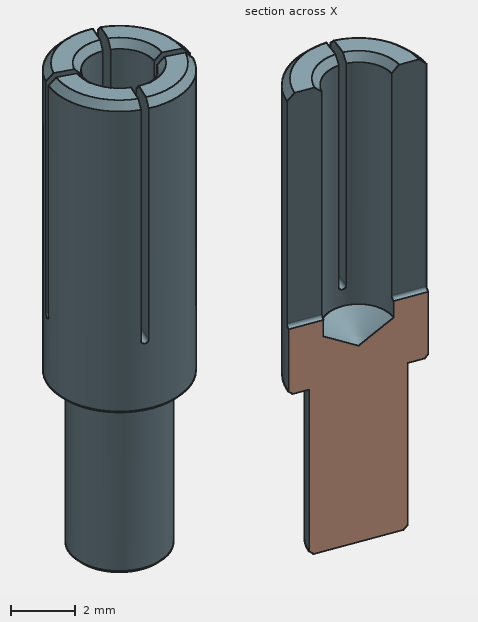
import cadquery as cq
import math

total_length = 17.78
shank_length = 6.35

body_diameter = 4.75
shank_diameter = 3.36

mouth_chamfer = 0.254
shoulder_chamfer = 0.127
shank_end_chamfer = 0.15

bore_diameter = 2.38
bore_depth = 9.525
drill_point_angle = 118.0

slot_width = 0.254
slot_depth = 8.89

body_radius = body_diameter / 2
shank_radius = shank_diameter / 2
bore_radius = bore_diameter / 2


def make_pin():
    """Shank and body as one turned profile, revolved about Z."""
    profile = (
        cq.Workplane("XZ")
        .moveTo(0, 0)
        .lineTo(shank_radius - shank_end_chamfer, 0)
        .lineTo(shank_radius, shank_end_chamfer)
        .lineTo(shank_radius, shank_length)
        .lineTo(body_radius - shoulder_chamfer, shank_length)
        .lineTo(body_radius, shank_length + shoulder_chamfer)
        .lineTo(body_radius, total_length - mouth_chamfer)
        .lineTo(body_radius - mouth_chamfer, total_length)
        .lineTo(0, total_length)
        .close()
    )
    return profile.revolve(360, (0, 0), (0, 1))


def make_socket():
    """Chamfered blind bore with a conical bottom, revolved about Z."""
    bore_floor = total_length - bore_depth
    cone_height = bore_radius / math.tan(math.radians(drill_point_angle / 2))
    profile = (
        cq.Workplane("XZ")
        .moveTo(0, bore_floor - cone_height)
        .lineTo(bore_radius, bore_floor)
        .lineTo(bore_radius, total_length - mouth_chamfer)
        .lineTo(bore_radius + mouth_chamfer, total_length)
        .lineTo(0, total_length)
        .close()
    )
    return profile.revolve(360, (0, 0), (0, 1))


def make_slot(plane):
    """Round-bottomed slot across the full body diameter, normal to the given plane."""
    half_width = slot_width / 2
    slot_floor = total_length - slot_depth
    round_start = slot_floor + half_width
    return (
        cq.Workplane(plane)
        .moveTo(-half_width, total_length)
        .lineTo(-half_width, round_start)
        .threePointArc((0, slot_floor), (half_width, round_start))
        .lineTo(half_width, total_length)
        .close()
        .extrude(body_radius, both=True)
    )


result = make_pin().cut(make_socket())
for slot_plane in ("XZ", "YZ"):
    result = result.cut(make_slot(slot_plane))